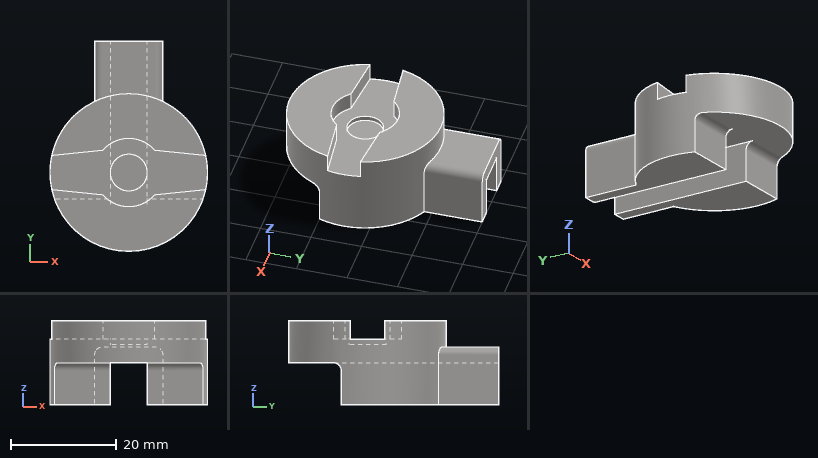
import cadquery as cq

body_diameter = 30.0
body_height = 16.0
body_radius = body_diameter / 2

relief_height = 8.0
relief_face_y = -5.0
relief_fillet = 1.5

tail_width = 13.0
tail_height = 11.0
tail_end_y = 25.0
tail_fillet = 1.5

channel_width = 7.0
channel_height = relief_height

slot_depth = 3.5
slot_floor_z = body_height - slot_depth
slot_pocket_diameter = 13.0
slot_rim_x = 14.65
slot_rim_half_width = 3.25
slot_neck_x = 4.85
slot_neck_half_width = 4.25

hole_diameter = 7.0
hole_depth = 1.0


def box_between(x_range, y_range, z_range):
    """Box spanning the given (low, high) pairs along X, Y and Z."""
    sizes = [high - low for low, high in (x_range, y_range, z_range)]
    corner = (x_range[0], y_range[0], z_range[0])
    return cq.Workplane("XY").box(*sizes, centered=False).translate(corner)


def make_body():
    return cq.Workplane("XY").circle(body_radius).extrude(body_height)


def make_tail():
    half_width = tail_width / 2
    tail = box_between((-half_width, half_width), (0, tail_end_y), (0, tail_height))
    return tail.edges("|Y and >Z").fillet(tail_fillet)


def make_relief():
    """Cutter under the -Y side; its rounded edge leaves the inside fillet."""
    relief = box_between(
        (-body_diameter, body_diameter), (-body_diameter, relief_face_y), (0, relief_height)
    )
    return relief.edges("|X and >Z and >Y").fillet(relief_fillet)


def make_channel():
    half_width = channel_width / 2
    return box_between((-half_width, half_width), (-body_radius, tail_end_y), (0, channel_height))


def make_slot():
    """Cutter for the cross slot: two tapered arms joined by a round pocket."""
    taper = (slot_neck_half_width - slot_rim_half_width) / (slot_rim_x - slot_neck_x)
    centre_half_width = slot_neck_half_width + taper * slot_neck_x
    end_half_width = slot_rim_half_width - taper * (body_radius - slot_rim_x)
    arms = (
        cq.Workplane("XY", origin=(0, 0, slot_floor_z))
        .moveTo(-body_radius, -end_half_width)
        .lineTo(0, -centre_half_width)
        .lineTo(body_radius, -end_half_width)
        .lineTo(body_radius, end_half_width)
        .lineTo(0, centre_half_width)
        .lineTo(-body_radius, end_half_width)
        .close()
        .extrude(slot_depth)
    )
    pocket = (
        cq.Workplane("XY", origin=(0, 0, slot_floor_z))
        .circle(slot_pocket_diameter / 2)
        .extrude(slot_depth)
    )
    return arms.union(pocket)


def make_hole():
    hole = cq.Workplane("XY").circle(hole_diameter / 2).extrude(hole_depth)
    return hole.translate((0, 0, slot_floor_z - hole_depth))


result = (
    make_body()
    .cut(make_relief())
    .union(make_tail())
    .cut(make_channel())
    .cut(make_slot())
    .cut(make_hole())
)